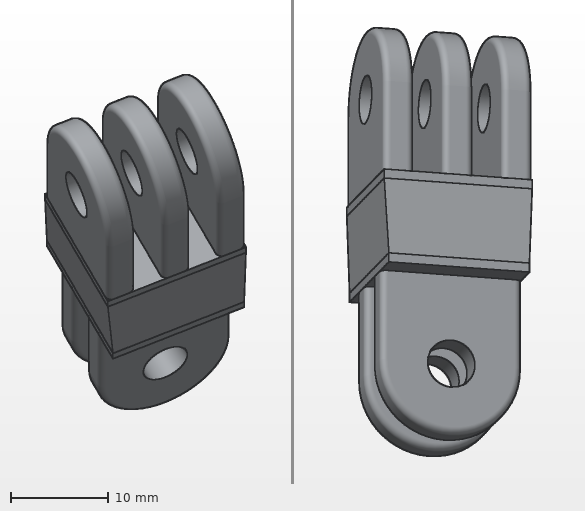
import cadquery as cq

total_height = 44.0
block_width = 15.8
lug_width = 15.0
lug_height = 17.0
hole_diameter = 5.0
edge_radius = 0.7
plate_thickness = 0.95

lug_thickness = block_width / 5
lug_pitch = 2 * lug_thickness
tip_radius = lug_width / 2
hole_height = lug_height - tip_radius
block_height = total_height - 2 * lug_height
block_top = block_height / 2
core_height = block_height - 2 * plate_thickness
core_top = core_height / 2


def make_lug():
    """Round-ended lug standing on Z = 0, with its thickness centred on Y = 0."""
    plate = (
        cq.Workplane("XZ", origin=(0, lug_thickness / 2, 0))
        .moveTo(-tip_radius, 0)
        .lineTo(-tip_radius, hole_height)
        .threePointArc((0, lug_height), (tip_radius, hole_height))
        .lineTo(tip_radius, 0)
        .close()
        .extrude(lug_thickness)
    )
    rounded = plate.edges(">Y or <Y").edges("not <Z").fillet(edge_radius)
    bore = (
        cq.Workplane("XZ", origin=(0, lug_thickness / 2, 0))
        .center(0, hole_height)
        .circle(hole_diameter / 2)
        .extrude(lug_thickness)
    )
    return rounded.cut(bore)


def make_upper_lug(y_position):
    """Lug pointing up, with its hole along Y."""
    return make_lug().translate((0, y_position, block_top))


def make_lower_lug(x_position):
    """Lug pointing down, with its hole along X."""
    inverted = make_lug().rotate((0, 0, 0), (1, 0, 0), 180)
    turned = inverted.rotate((0, 0, 0), (0, 0, 1), 90)
    return turned.translate((x_position, 0, -block_top))


def make_end_plate(x_size, y_size, bottom):
    """Flat rectangular plate with its underside at the given height."""
    return (
        cq.Workplane("XY")
        .workplane(offset=bottom)
        .rect(x_size, y_size)
        .extrude(plate_thickness)
    )


def make_core():
    """Tapered middle block, blending the lower plate outline into the upper one."""
    return (
        cq.Workplane("XY")
        .workplane(offset=-core_top)
        .rect(block_width, lug_width)
        .workplane(offset=core_height)
        .rect(lug_width, block_width)
        .loft(ruled=True)
    )


core = make_core()
upper_plate = make_end_plate(lug_width, block_width, core_top)
lower_plate = make_end_plate(block_width, lug_width, -block_top)

upper_lugs = [make_upper_lug(step * lug_pitch) for step in (-1, 0, 1)]
lower_lugs = [make_lower_lug(step * lug_pitch) for step in (-0.5, 0.5)]
lugs = upper_lugs + lower_lugs

result = cq.Compound.makeCompound(
    [core.val(), upper_plate.val(), lower_plate.val(), *[lug.val() for lug in lugs]]
)